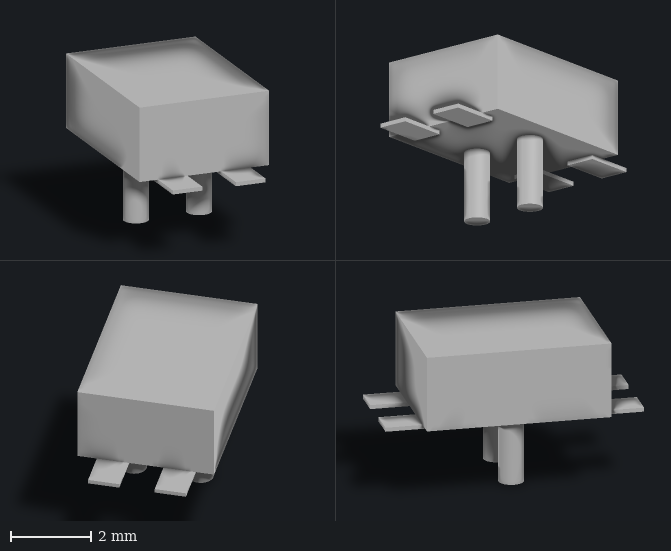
import cadquery as cq

overall_length = 6.6
lead_length = 1.34
lead_width = 0.8
lead_thickness = 0.105
lead_pitch = 1.7

housing_length = 4.71
housing_width = 3.5
housing_height = 1.95

pin_diameter = 0.65
overall_height = 3.75
pin_length = overall_height - housing_height

row_positions = [-lead_pitch / 2, lead_pitch / 2]


def make_housing():
    return cq.Workplane("XY").box(
        housing_length, housing_width, housing_height, centered=(True, True, False)
    )


def make_lead(side, row_y):
    """Flat lead on the -X side (side = -1) or the +X side (side = 1)."""
    center_x = side * (overall_length - lead_length) / 2
    return (
        cq.Workplane("XY")
        .box(lead_length, lead_width, lead_thickness, centered=(True, True, False))
        .translate((center_x, row_y, -lead_thickness))
    )


def make_pin(row_y):
    return cq.Workplane("XY").center(0, row_y).circle(pin_diameter / 2).extrude(-pin_length)


housing = make_housing()
leads = [make_lead(side, row_y) for side in (-1, 1) for row_y in row_positions]
pins = [make_pin(row_y) for row_y in row_positions]

result = cq.Compound.makeCompound(
    [housing.val(), *[lead.val() for lead in leads], *[pin.val() for pin in pins]]
)